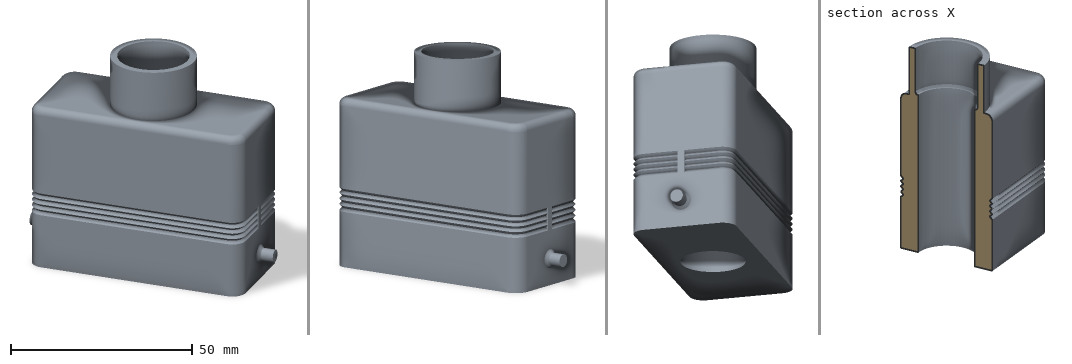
import cadquery as cq

overall_length = 72.0
overall_height = 62.0

body_length = 63.0
body_width = 29.4
body_height = 47.5
corner_radius = 3.95
top_edge_radius = 2.0

collar_diameter = 24.0
bore_diameter = 20.0
bore_depth = 13.25
ledge_diameter = 19.15
taper_depth = 0.7
passage_diameter = 18.0

groove_count = 4
groove_band_bottom = 15.6
groove_band_height = 6.5
groove_pitch = groove_band_height / groove_count
groove_depth = 0.8
groove_gap = 2.0

pin_height = 7.5
pin_diameter = 3.6
pin_base_diameter = 5.3
pin_base_length = 0.9


def make_body():
    return (
        cq.Workplane("XY")
        .box(body_length, body_width, body_height, centered=(True, True, False))
        .edges("|Z").fillet(corner_radius)
        .faces(">Z").edges().fillet(top_edge_radius)
    )


def make_groove(bottom):
    """V-groove ring following the rounded body outline."""
    wall = -body_width / 2
    middle = bottom + groove_pitch / 2
    top = bottom + groove_pitch
    path = (
        cq.Workplane("XY", origin=(0, 0, middle))
        .rect(body_length, body_width)
        .extrude(groove_pitch)
        .edges("|Z").fillet(corner_radius)
        .faces("<Z").wires()
    )
    return (
        cq.Workplane("YZ")
        .polyline([(wall, bottom), (wall + groove_depth, middle), (wall, top)])
        .close()
        .sweep(path)
    )


def make_end_strip():
    """Slab covering the plain strip that interrupts the grooves on each end face."""
    return cq.Workplane("XY").box(
        overall_length, groove_gap, body_height, centered=(True, True, False)
    )


def make_collar():
    return (
        cq.Workplane("XY", origin=(0, 0, body_height / 2))
        .circle(collar_diameter / 2)
        .extrude(overall_height - body_height / 2)
    )


def make_bore():
    """Bore with a tapered end and a flat ledge around a passage through the whole part."""
    bore_end = overall_height - bore_depth
    return (
        cq.Workplane("XZ")
        .polyline([
            (0, 0),
            (passage_diameter / 2, 0),
            (passage_diameter / 2, bore_end - taper_depth),
            (ledge_diameter / 2, bore_end - taper_depth),
            (bore_diameter / 2, bore_end),
            (bore_diameter / 2, overall_height),
            (0, overall_height),
        ])
        .close()
        .revolve(360, (0, 0, 0), (0, 1, 0))
    )


def make_pin(side):
    """Pin with a conical base; side is -1 or +1 along X."""
    wall = body_length / 2
    tip = overall_length / 2
    root = wall - pin_base_length
    return (
        cq.Workplane("XY", origin=(0, 0, pin_height))
        .polyline([
            (side * root, 0),
            (side * root, pin_base_diameter / 2),
            (side * wall, pin_base_diameter / 2),
            (side * (wall + pin_base_length), pin_diameter / 2),
            (side * tip, pin_diameter / 2),
            (side * tip, 0),
        ])
        .close()
        .revolve(360, (0, 0, 0), (1, 0, 0))
    )


result = make_body()
for index in range(groove_count):
    groove = make_groove(groove_band_bottom + index * groove_pitch)
    result = result.cut(groove.cut(make_end_strip()))
result = result.union(make_collar()).cut(make_bore())
for side in (-1, 1):
    result = result.union(make_pin(side))